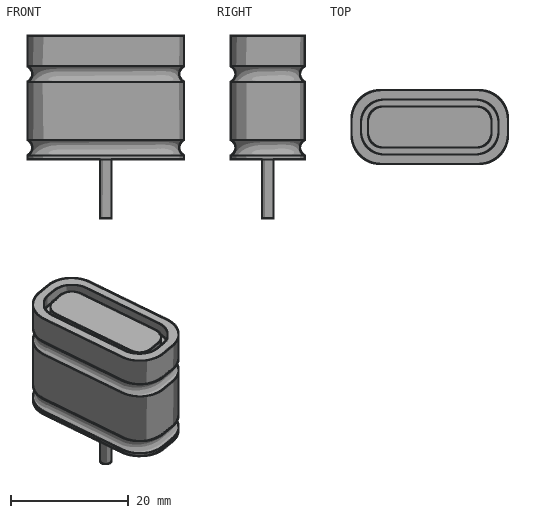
import cadquery as cq

total_height = 31.0
body_length = 26.6
body_width = 12.6
corner_radius = 5.0

pin_length = 10.0
pin_diameter = 2.0

groove_radius = 1.5
groove_depth = 0.8
lower_groove_height = 1.98
groove_count = 2
groove_spacing = 12.5

rim_width = 1.65
recess_radius = 3.88
recess_depth = 2.3
island_gap = 1.18
island_radius = 2.5
island_drop = 0.6

body_height = total_height - pin_length
recess_length = body_length - 2 * rim_width
recess_width = body_width - 2 * rim_width
island_length = recess_length - 2 * island_gap
island_width = recess_width - 2 * island_gap


def rounded_block(length, width, radius, bottom, height):
    """Block centred on the Z axis with rounded vertical edges."""
    block = cq.Workplane("XY").workplane(offset=bottom).rect(length, width).extrude(height)
    return block.edges("|Z").fillet(radius)


def groove_cutter(height):
    """Ring of circular section whose centre line runs parallel to the body outline."""
    outset = groove_radius - groove_depth
    ring_length = body_length + 2 * outset
    ring_width = body_width + 2 * outset
    ring_corner = corner_radius + outset
    outline = rounded_block(ring_length, ring_width, ring_corner, height, groove_radius)
    path = outline.faces("<Z").wires()
    section = cq.Workplane("YZ").center(-ring_width / 2, height).circle(groove_radius)
    return section.sweep(path)


result = rounded_block(body_length, body_width, corner_radius, pin_length, body_height)
for index in range(groove_count):
    groove_height = pin_length + lower_groove_height + index * groove_spacing
    result = result.cut(groove_cutter(groove_height))

recess_floor = total_height - recess_depth
island_height = recess_depth - island_drop
result = result.cut(
    rounded_block(recess_length, recess_width, recess_radius, recess_floor, recess_depth)
)
result = result.union(
    rounded_block(island_length, island_width, island_radius, recess_floor, island_height)
)

pin = cq.Workplane("XY").circle(pin_diameter / 2).extrude(pin_length)
result = result.union(pin)